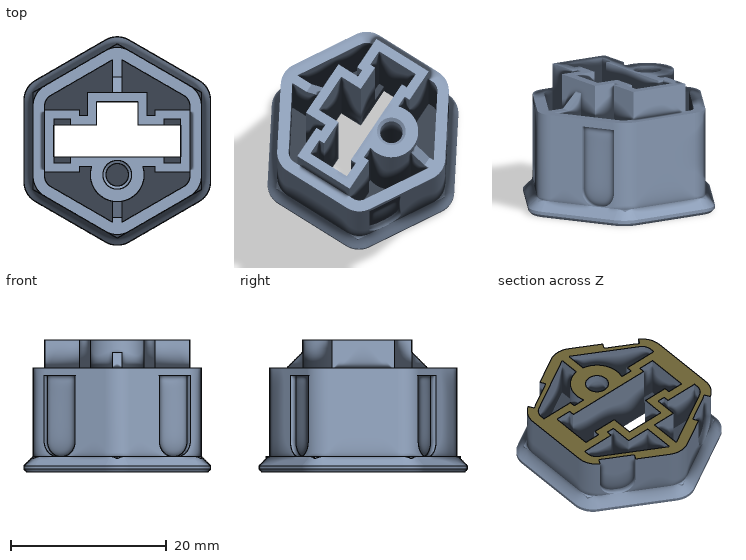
import cadquery as cq
import math

flange_flats = 24.0
flange_corners = 26.78
body_flats = 21.6
HEX_RATIO = 2 / math.sqrt(3)
corner_trim = (HEX_RATIO * flange_flats - flange_corners) / 2
corner_radius = corner_trim / (HEX_RATIO - 1)

floor_height = 2.0
body_height = 13.4
total_height = 17.0

flange_top_chamfer = (flange_flats - body_flats) / 2
flange_bottom_chamfer = 0.4

body_wall = 1.47
cavity_flats = body_flats - 2 * body_wall
cavity_radius = corner_radius - body_wall

socket_wall = 1.2
pocket_length = cavity_flats - 2 * socket_wall
pocket_end_width = 5.6
pocket_middle_width = 4.1
pocket_middle_length = 12.05
tab_width = 5.28
tab_reach = 5.03

boss_y = -4.35
boss_diameter = 6.9
hole_diameter = 2.9
hole_chamfer = 0.4

rib_thickness = 1.2
rib_rise = 2.0

recess_width = 4.6
recess_top = 12.4
recess_depth = 0.8
recess_radius = 2.0


def hex_prism(flats, base, top, radius=0.0):
    """Hexagonal prism with flats across X and optional rounded corners."""
    prism = (
        cq.Workplane("XY")
        .workplane(offset=base)
        .polygon(6, HEX_RATIO * flats)
        .extrude(top - base)
        .rotate((0, 0, 0), (0, 0, 1), 30)
    )
    if radius > 0:
        prism = prism.edges("|Z").fillet(radius)
    return prism


def make_shell():
    """Flange and hexagonal body, both still solid."""
    flange = hex_prism(flange_flats, 0, floor_height, corner_radius)
    flange = flange.faces(">Z").chamfer(flange_top_chamfer)
    flange = flange.faces("<Z").chamfer(flange_bottom_chamfer)
    sharp_step = hex_prism(body_flats, flange_bottom_chamfer, floor_height)
    body = hex_prism(body_flats, flange_bottom_chamfer, body_height, corner_radius)
    return flange.union(sharp_step).union(body)


def make_recess():
    """Recess from the middle of the -X+Y face to its -X corner, rounded at the bottom."""
    normal_angle = math.radians(120)
    normal = cq.Vector(math.cos(normal_angle), math.sin(normal_angle), 0)
    along_face = cq.Vector(-math.sin(normal_angle), math.cos(normal_angle), 0)
    face_middle = normal * (body_flats / 2)
    slot = (
        cq.Workplane(cq.Plane(face_middle, along_face, normal))
        .moveTo(0, recess_top)
        .lineTo(0, floor_height + recess_radius)
        .radiusArc((recess_radius, floor_height), -recess_radius)
        .lineTo(recess_width - recess_radius, floor_height)
        .radiusArc((recess_width, floor_height + recess_radius), -recess_radius)
        .lineTo(recess_width, recess_top)
        .close()
        .extrude(2 * recess_depth, both=True)
    )
    recess_back = hex_prism(body_flats - 2 * recess_depth, 0, body_height, corner_radius)
    return slot.cut(recess_back)


def block(x_min, x_max, y_min, y_max, base, top):
    """Rectangular block between the given limits."""
    return (
        cq.Workplane("XY")
        .box(x_max - x_min, y_max - y_min, top - base, centered=False)
        .translate((x_min, y_min, base))
    )


def slot_with_tab(margin, base, top):
    """Long slot with a tab toward +Y, grown outward by the margin."""
    half_length = pocket_length / 2 + margin
    half_width = pocket_middle_width / 2 + margin
    half_tab = tab_width / 2 + margin
    slot = block(-half_length, half_length, -half_width, half_width, base, top)
    tab = block(-half_tab, half_tab, 0, tab_reach + margin, base, top)
    return slot.union(tab)


def slot_ends(margin, base, top):
    """Wider stretches at both ends of the slot, grown outward by the margin."""
    inner_x = pocket_middle_length / 2 - margin
    outer_x = pocket_length / 2 + margin
    half_width = pocket_end_width / 2 + margin
    end = block(inner_x, outer_x, -half_width, half_width, base, top)
    return end.union(end.mirror("YZ"))


def make_rib(root_y, side):
    """Rib from the socket at root_y to the body corner on the given Y side."""
    peak = body_height + rib_rise
    slope_end = root_y + side * rib_rise
    overlap_y = boss_y if side < 0 else tab_reach
    wall_y = side * (HEX_RATIO * cavity_flats / 2)
    return (
        cq.Workplane("YZ")
        .polyline([
            (overlap_y, floor_height),
            (overlap_y, peak),
            (root_y, peak),
            (slope_end, body_height),
            (wall_y, body_height),
            (wall_y, floor_height),
        ])
        .close()
        .extrude(rib_thickness / 2, both=True)
    )


part = make_shell()

recess = make_recess()
recess_pair = recess.union(recess.mirror("YZ"))
part = part.cut(recess_pair).cut(recess_pair.mirror("XZ"))

part = part.cut(hex_prism(cavity_flats, floor_height, body_height, cavity_radius))
boss = (
    cq.Workplane("XY")
    .workplane(offset=floor_height)
    .center(0, boss_y)
    .circle(boss_diameter / 2)
    .extrude(total_height - floor_height)
)
part = part.union(slot_with_tab(socket_wall, floor_height, total_height))
part = part.union(slot_ends(socket_wall, floor_height, total_height))
part = part.union(boss)
part = part.union(make_rib(tab_reach + socket_wall, 1))
part = part.union(make_rib(boss_y - boss_diameter / 2, -1))

part = part.cut(slot_with_tab(0, 0, total_height))
part = part.cut(slot_ends(0, floor_height, total_height))

hole_depth = total_height - floor_height
hole = (
    cq.Workplane("XY")
    .workplane(offset=total_height)
    .center(0, boss_y)
    .circle(hole_diameter / 2)
    .extrude(-hole_depth)
)
mouth = cq.Workplane(
    cq.Solid.makeCone(
        hole_diameter / 2,
        hole_diameter / 2 + hole_chamfer,
        hole_chamfer,
        pnt=cq.Vector(0, boss_y, total_height - hole_chamfer),
    )
)
result = part.cut(hole).cut(mouth)